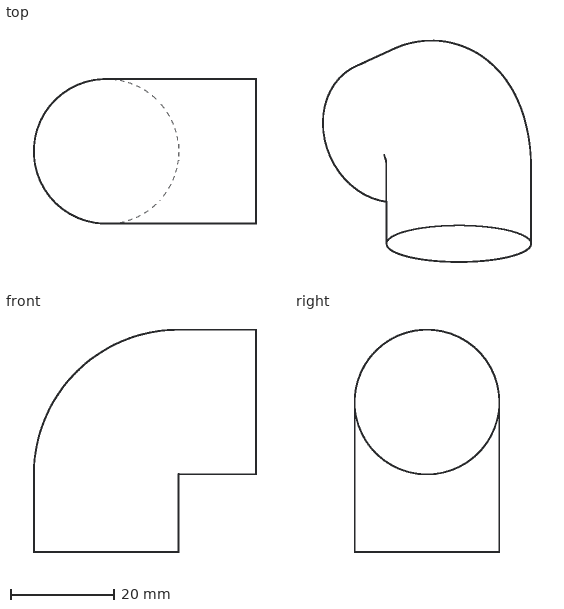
import cadquery as cq
import math

outer_diameter = 28.0
leg_length = 15.0

outer_radius = outer_diameter / 2
bend_radius = outer_radius


def make_bend():
    """Quarter bend, a circle swept from the bottom leg round to the side leg."""
    bend_middle = (-bend_radius * math.sqrt(0.5), bend_radius * math.sqrt(0.5))
    centreline = cq.Workplane("XZ").moveTo(-bend_radius, 0).threePointArc(bend_middle, (0, bend_radius))
    return cq.Workplane("XY").center(-bend_radius, 0).circle(outer_radius).sweep(centreline)


def make_bottom_leg():
    """Straight leg running down from the bend along -Z."""
    return cq.Workplane("XY").center(-bend_radius, 0).circle(outer_radius).extrude(-leg_length)


def make_side_leg():
    """Straight leg running out from the bend along +X."""
    return cq.Workplane("YZ").center(0, bend_radius).circle(outer_radius).extrude(leg_length)


result = make_bend().union(make_bottom_leg()).union(make_side_leg())